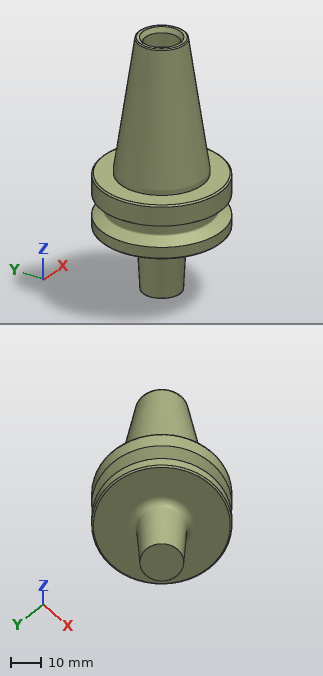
import cadquery as cq
import math

total_height = 93.4
flange_bottom = 22.9
groove_bottom = 27.5
groove_top = 35.4
flange_top = 43.0
gauge_level = 44.6

flange_diameter = 46.0
flange_radius = flange_diameter / 2
groove_radius = 19.1
gauge_radius = 15.9
nose_tip_radius = 7.2
nose_angle = 3.0
nose_fillet = 2.8
groove_fillet = 0.6
groove_wall_angle = 30.0
flange_bottom_chamfer = 0.6
flange_top_chamfer = 0.6
shank_top_chamfer = 0.4
shank_taper = 7 / 24

mouth_radius = 7.3
counterbore_radius = 6.3
thread_radius = 6.0
drill_radius = 5.3
mouth_half_angle = 30.0
counterbore_depth = 7.0
seat_half_angle = 60.0
thread_depth = 26.15
drill_depth = 33.6
drill_half_angle = 59.0


def cone_height(large_radius, small_radius, half_angle):
    """Axial length of a cone between two radii."""
    return (large_radius - small_radius) / math.tan(math.radians(half_angle))


def make_body():
    """Revolved nose, grooved flange and tapered shank."""
    nose_root_radius = nose_tip_radius + flange_bottom * math.tan(math.radians(nose_angle))
    wall_height = (flange_radius - groove_radius) * math.tan(math.radians(groove_wall_angle))
    shank_top_radius = gauge_radius - (total_height - gauge_level) * shank_taper / 2
    chamfer_level = total_height - shank_top_chamfer
    chamfer_outer_radius = shank_top_radius + shank_top_chamfer * shank_taper / 2

    profile = [
        (0, 0),
        (nose_tip_radius, 0),
        (nose_root_radius, flange_bottom),
        (flange_radius - flange_bottom_chamfer, flange_bottom),
        (flange_radius, flange_bottom + flange_bottom_chamfer),
        (flange_radius, groove_bottom),
        (groove_radius, groove_bottom + wall_height),
        (groove_radius, groove_top - wall_height),
        (flange_radius, groove_top),
        (flange_radius, flange_top - flange_top_chamfer),
        (flange_radius - flange_top_chamfer, flange_top),
        (gauge_radius, flange_top),
        (gauge_radius, gauge_level),
        (chamfer_outer_radius, chamfer_level),
        (shank_top_radius - shank_top_chamfer, total_height),
        (0, total_height),
    ]
    body = cq.Workplane("XZ").polyline(profile).close().revolve(360, (0, 0), (0, 1))

    def fillet_ring(solid, radius, level, fillet):
        margin = 0.1
        outer = radius + margin
        ring = cq.selectors.BoxSelector(
            (-outer, -outer, level - margin), (outer, outer, level + margin), boundingbox=True
        )
        return solid.edges("%CIRCLE").edges(ring).fillet(fillet)

    body = fillet_ring(body, nose_root_radius, flange_bottom, nose_fillet)
    for level in (groove_bottom + wall_height, groove_top - wall_height):
        body = fillet_ring(body, groove_radius, level, groove_fillet)
    return body


def make_bore():
    """Countersunk mouth, counterbore, thread hole and pilot hole with a drill point."""
    mouth_bottom = total_height - cone_height(mouth_radius, counterbore_radius, mouth_half_angle)
    seat_top = total_height - counterbore_depth
    seat_bottom = seat_top - cone_height(counterbore_radius, thread_radius, seat_half_angle)
    thread_bottom = total_height - thread_depth
    drill_bottom = total_height - drill_depth
    drill_tip = drill_bottom - cone_height(drill_radius, 0, drill_half_angle)
    profile = [
        (0, total_height),
        (mouth_radius, total_height),
        (counterbore_radius, mouth_bottom),
        (counterbore_radius, seat_top),
        (thread_radius, seat_bottom),
        (thread_radius, thread_bottom),
        (drill_radius, thread_bottom),
        (drill_radius, drill_bottom),
        (0, drill_tip),
    ]
    return cq.Workplane("XZ").polyline(profile).close().revolve(360, (0, 0), (0, 1))


result = make_body().cut(make_bore())